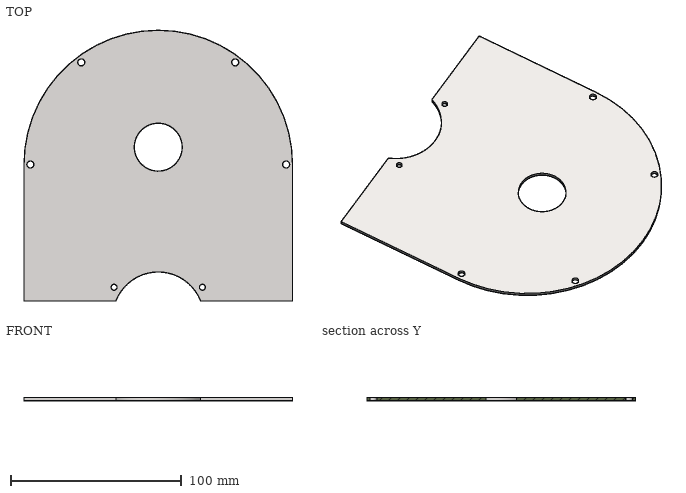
import cadquery as cq
import math

length = 158.8
width = 157.5
thickness = 2.0
end_radius = width / 2
end_center_y = length - end_radius

opening_diameter = 28.0
opening_y = 90.2

notch_half_width = 24.8
notch_depth = 17.0

rim_hole_diameter = 4.0
rim_hole_circle_radius = 75.0
rim_hole_angles = (0, 53, 127, 180)

notch_hole_diameter = 3.3
notch_hole_x = 25.9
notch_hole_y = 8.1


def make_plate():
    """Outline with the half-round end and the notch, extruded upwards."""
    return (
        cq.Workplane("XY")
        .moveTo(-end_radius, 0)
        .lineTo(-notch_half_width, 0)
        .threePointArc((0, notch_depth), (notch_half_width, 0))
        .lineTo(end_radius, 0)
        .lineTo(end_radius, end_center_y)
        .threePointArc((0, length), (-end_radius, end_center_y))
        .close()
        .extrude(thickness)
    )


def drill(body, points, diameter):
    """Cut a through hole at each point."""
    cutters = cq.Workplane("XY").pushPoints(points).circle(diameter / 2).extrude(thickness)
    return body.cut(cutters)


def rim_hole_point(angle):
    """Place on the rim hole circle, with the angle in degrees from +X."""
    return (
        rim_hole_circle_radius * math.cos(math.radians(angle)),
        end_center_y + rim_hole_circle_radius * math.sin(math.radians(angle)),
    )


rim_hole_points = [rim_hole_point(angle) for angle in rim_hole_angles]
notch_hole_points = [(side * notch_hole_x, notch_hole_y) for side in (-1, 1)]

result = make_plate()
result = drill(result, [(0, opening_y)], opening_diameter)
result = drill(result, rim_hole_points, rim_hole_diameter)
result = drill(result, notch_hole_points, notch_hole_diameter)